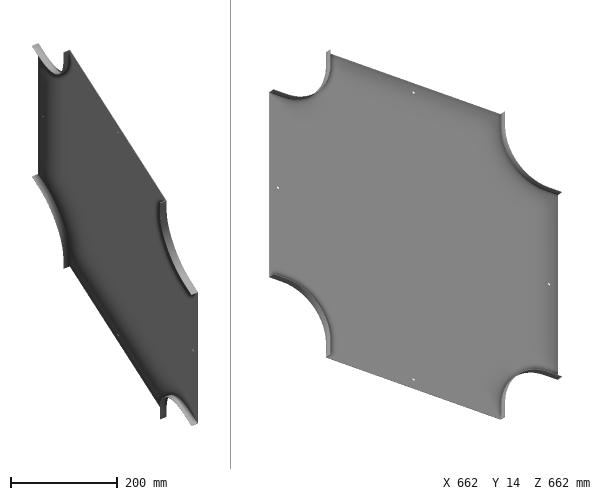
import cadquery as cq

side = 662.0
depth = 14.0
sheet = 1.0

notch_radius = 100.0
notch_straight = 30.5
notch = notch_radius + notch_straight

hole_diameter = 5.0
hole_inset = 20.0

half = side / 2
back = depth / 2


def notched_block(inset):
    """Square block with four corner notches, whose walls are moved inward by inset."""
    edge = half - notch - inset
    radius = notch_radius + inset
    arc_end = edge + radius
    block = cq.Workplane("XZ", origin=(0, back, 0)).rect(side, side).extrude(depth)
    for x_sign in (-1, 1):
        for z_sign in (-1, 1):
            cutter = (
                cq.Workplane("XZ", origin=(0, back, 0))
                .moveTo(x_sign * edge, z_sign * half)
                .lineTo(x_sign * edge, z_sign * arc_end)
                .radiusArc((x_sign * arc_end, z_sign * edge), -x_sign * z_sign * radius)
                .lineTo(x_sign * half, z_sign * edge)
                .lineTo(x_sign * half, z_sign * half)
                .close()
                .extrude(depth)
            )
            block = block.cut(cutter)
    return block


hollow = notched_block(sheet).translate((0, -sheet, 0))
result = notched_block(0).cut(hollow)

hole_offset = half - hole_inset
hole_centers = [(hole_offset, 0), (-hole_offset, 0), (0, hole_offset), (0, -hole_offset)]
holes = (
    cq.Workplane("XZ", origin=(0, back, 0))
    .pushPoints(hole_centers)
    .circle(hole_diameter / 2)
    .extrude(depth)
)
result = result.cut(holes)